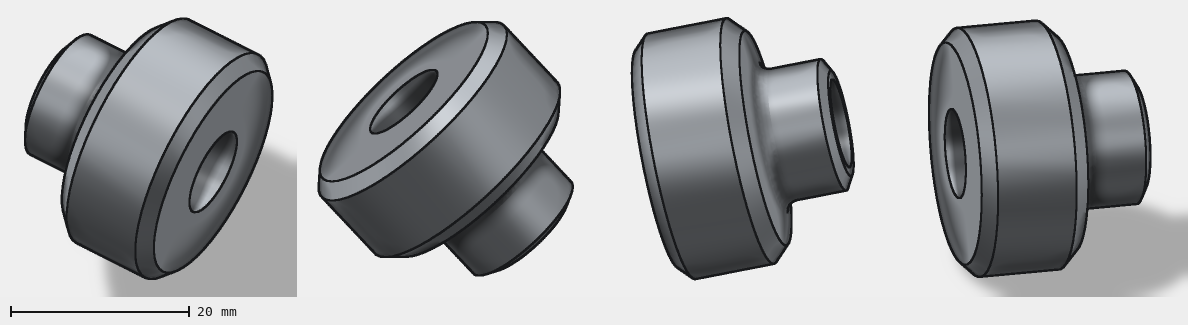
import cadquery as cq
import math

total_length = 21.0
body_diameter = 28.0
neck_diameter = 15.0
tip_diameter = 12.0
bore_diameter = 10.0
shoulder_start = 8.68
front_chamfer = 1.75
back_chamfer = 1.5
tip_bevel_angle = 30.0
shoulder_angle = 10.0
neck_fillet = 1.5

body_radius = body_diameter / 2
neck_radius = neck_diameter / 2
tip_radius = tip_diameter / 2
bore_radius = bore_diameter / 2
shoulder_radius = body_radius - front_chamfer
tip_bevel_length = (neck_radius - tip_radius) * math.tan(math.radians(tip_bevel_angle))
shoulder_rise = (shoulder_radius - neck_radius) * math.tan(math.radians(shoulder_angle))
neck_end = shoulder_start - shoulder_rise

half_section = [
    (0, bore_radius),
    (0, tip_radius),
    (tip_bevel_length, neck_radius),
    (neck_end, neck_radius),
    (shoulder_start, shoulder_radius),
    (shoulder_start + front_chamfer, body_radius),
    (total_length - back_chamfer, body_radius),
    (total_length, body_radius - back_chamfer),
    (total_length, bore_radius),
]
turned = cq.Workplane("XY").polyline(half_section).close().revolve(360, (0, 0, 0), (1, 0, 0))

neck_corner = cq.selectors.NearestToPointSelector((neck_end, 0, 0))
result = turned.edges("%CIRCLE").edges(neck_corner).fillet(neck_fillet)